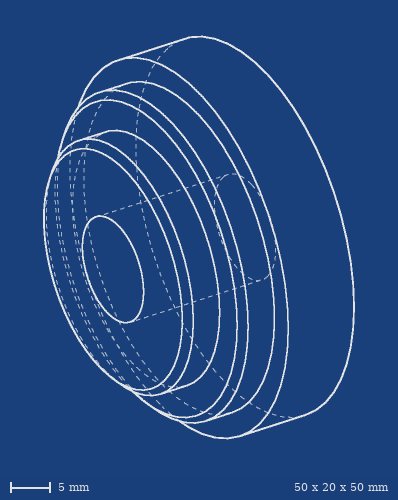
import cadquery as cq

flange_diameter = 50
flange_thickness = 10
middle_diameter = 43.7
front_diameter = 33.7
step_thickness = 5
chamfer = 1
bore_diameter = 14

total_thickness = flange_thickness + 2 * step_thickness


def disc(diameter, thickness):
    """Disc whose back face lies on Y = 0 and which extends toward -Y."""
    return cq.Workplane("XZ").circle(diameter / 2).extrude(thickness)


def chamfered_step(diameter, thickness):
    """Disc with its front rim chamfered."""
    return disc(diameter, thickness).faces("<Y").edges().chamfer(chamfer)


flange = disc(flange_diameter, flange_thickness)
middle_step = chamfered_step(middle_diameter, flange_thickness + step_thickness)
front_step = chamfered_step(front_diameter, total_thickness)
bore = disc(bore_diameter, total_thickness)

result = flange.union(middle_step).union(front_step).cut(bore)